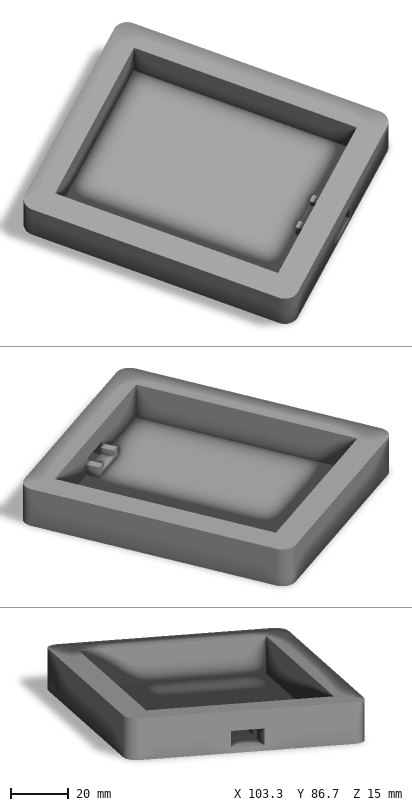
import cadquery as cq

length = 103.3
width = 86.7
height = 15.0
corner_radius = 5.0
wall = 9.5
floor = 1.5

cradle_depth = 5.0
cradle_width = 15.0
cradle_height = 4.3
cheek_thickness = 2.9
seat_height = 1.9

port_width = 12.2
port_height = 6.0
port_sill = 0.4

inner_wall_x = length / 2 - wall


def block(x_start, x_size, y_size, z_start, z_size):
    """Box centred on Y that starts at the given X and Z."""
    return (
        cq.Workplane("XY")
        .box(x_size, y_size, z_size, centered=(False, True, False))
        .translate((x_start, 0, z_start))
    )


def make_tray():
    """Rounded block with a sharp-cornered pocket open at the top."""
    body = block(-length / 2, length, width, 0, height).edges("|Z").fillet(corner_radius)
    pocket_length = length - 2 * wall
    pocket_width = width - 2 * wall
    return body.cut(block(-pocket_length / 2, pocket_length, pocket_width, floor, height - floor))


def make_cradle():
    """Low seat between two cheeks."""
    start_x = inner_wall_x - cradle_depth
    seat_width = cradle_width - 2 * cheek_thickness
    cradle = block(start_x, cradle_depth, cradle_width, floor, cradle_height)
    gap = block(start_x, cradle_depth, seat_width, floor + seat_height, cradle_height - seat_height)
    return cradle.cut(gap)


def make_port():
    """Cutter for the rectangular opening through the +X wall."""
    return block(inner_wall_x, wall, port_width, floor + port_sill, port_height)


result = make_tray().cut(make_port()).union(make_cradle())